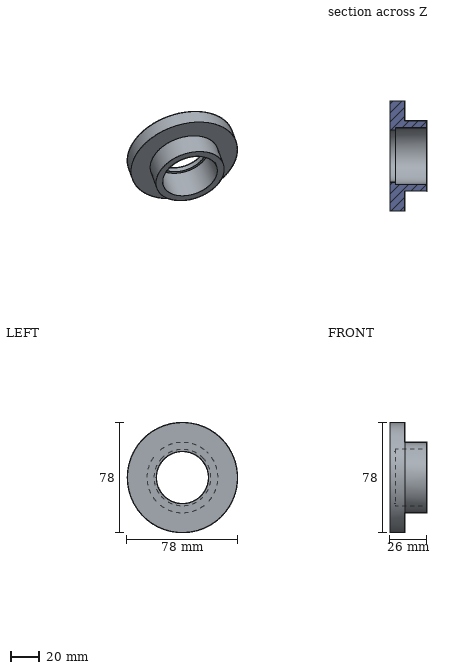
import cadquery as cq

flange_diameter = 78.0
flange_thickness = 10.5
hub_diameter = 50.0
total_length = 26.0

lip_diameter = 36.65
lip_length = 3.9
bore_diameter = 40.0


def cylinder(diameter, start, end):
    """Solid cylinder along the X axis between two X positions."""
    return cq.Workplane("YZ", origin=(start, 0, 0)).circle(diameter / 2).extrude(end - start)


flange = cylinder(flange_diameter, 0, flange_thickness)
hub = cylinder(hub_diameter, flange_thickness, total_length)
lip_opening = cylinder(lip_diameter, 0, lip_length)
bore = cylinder(bore_diameter, lip_length, total_length)

result = flange.union(hub).cut(lip_opening).cut(bore)